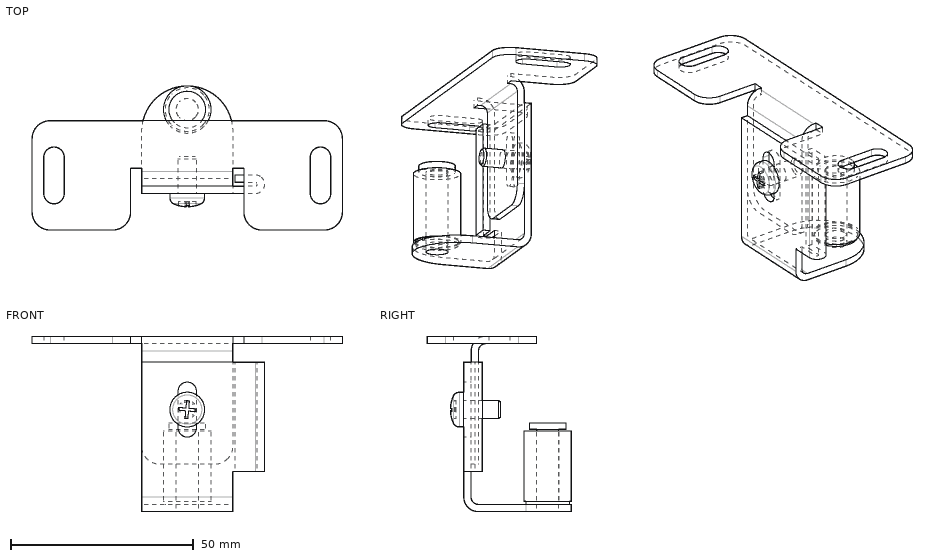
import cadquery as cq
import math

sheet = 2.0
bend_outer = 4.0
strip_width = 25.0
overall_height = 48.0

plate_length = 85.0
plate_depth = 30.0
plate_front = -10.0
corner_radius = 5.0
cutout_width = 30.9
cutout_back = 6.9
plate_slot_width = 5.5
plate_slot_length = 15.5
plate_slot_offset = 36.5
tongue_bottom = 13.0

bracket_depth = 29.5
panel_top = 41.0
hem_bottom = 11.0
hem_outer_x = 21.2
hem_gap = 1.0
lip_clearance = 0.5

screw_height = 28.0
shank_diameter = 5.0
shank_length = 10.1
tip_diameter = 4.2
tip_chamfer_length = 0.6
clamp_travel = 10.0
head_diameter = 9.5
head_band = 1.2
crown_diameter = 8.0
crown_start = 2.7
head_height = 3.65
recess_span = 4.85
recess_arm = 0.8
recess_depth = 1.5
recess_angle = 5.0

roller_diameter = 13.0
roller_height = 19.3
roller_bore = 6.1
washer_diameter = 12.0
washer_thickness = 0.8
pin_diameter = 6.0
pin_head_diameter = 10.0
pin_head_thickness = 1.8
pin_head_gap = 0.4

plate_center_y = plate_front + plate_depth / 2
roller_y = bracket_depth - roller_diameter / 2
washer_top = sheet + washer_thickness
roller_top = washer_top + roller_height
pin_head_bottom = roller_top + pin_head_gap


def bent_strip(y_length, z_length):
    """L-shaped strip with its outer corner on the X axis and legs along +Y and +Z."""
    inner_radius = bend_outer - sheet
    cos_45 = math.cos(math.radians(45))
    outer_mid = bend_outer * (1 - cos_45)
    inner_mid = bend_outer - inner_radius * cos_45
    return (
        cq.Workplane("YZ")
        .moveTo(y_length, 0)
        .lineTo(bend_outer, 0)
        .threePointArc((outer_mid, outer_mid), (0, bend_outer))
        .lineTo(0, z_length)
        .lineTo(sheet, z_length)
        .lineTo(sheet, bend_outer)
        .threePointArc((inner_mid, inner_mid), (bend_outer, sheet))
        .lineTo(y_length, sheet)
        .close()
        .extrude(strip_width / 2, both=True)
    )


def make_mounting_plate():
    plate = (
        cq.Workplane("XY", origin=(0, plate_center_y, overall_height - sheet))
        .rect(plate_length, plate_depth)
        .extrude(sheet)
    )
    cutout_depth = cutout_back - plate_front
    cutout = (
        cq.Workplane("XY", origin=(0, plate_front + cutout_depth / 2, overall_height - sheet))
        .rect(cutout_width, cutout_depth)
        .extrude(sheet)
    )
    plate = plate.cut(cutout)
    outer_corners = plate.edges("|Z and (<X or >X)")
    front_corners = plate.faces("<Y").edges("|Z and (not (<X or >X))")
    plate = plate.newObject(outer_corners.vals() + front_corners.vals()).fillet(corner_radius)

    mounting_slots = (
        cq.Workplane("XY", origin=(0, plate_center_y, overall_height - sheet))
        .pushPoints([(-plate_slot_offset, 0), (plate_slot_offset, 0)])
        .slot2D(plate_slot_length, plate_slot_width, 90)
        .extrude(sheet)
    )
    plate = plate.cut(mounting_slots)

    tongue = (
        bent_strip(cutout_back - sheet, overall_height - tongue_bottom)
        .mirror("XY")
        .translate((0, sheet, overall_height))
        .faces("<Z")
        .edges("|Y")
        .fillet(corner_radius)
    )
    screw_hole = (
        cq.Workplane("XZ", origin=(0, 0, screw_height))
        .circle(shank_diameter / 2)
        .extrude(-2 * sheet)
    )
    return plate.union(tongue).cut(screw_hole)


def make_hem():
    """Side extension of the front panel, folded back on itself around the tongue's edge."""
    outer_depth = 2 * sheet + hem_gap
    outer_radius = outer_depth / 2
    fold_x = hem_outer_x - outer_radius
    panel_side = strip_width / 2
    lip_edge = panel_side + lip_clearance
    return (
        cq.Workplane("XY", origin=(0, 0, hem_bottom))
        .moveTo(panel_side, 0)
        .lineTo(fold_x, 0)
        .threePointArc((hem_outer_x, outer_radius), (fold_x, outer_depth))
        .lineTo(lip_edge, outer_depth)
        .lineTo(lip_edge, sheet + hem_gap)
        .lineTo(fold_x, sheet + hem_gap)
        .threePointArc((hem_outer_x - sheet, outer_radius), (fold_x, sheet))
        .lineTo(panel_side, sheet)
        .close()
        .extrude(panel_top - hem_bottom)
    )


def make_bracket():
    end_center_y = bracket_depth - strip_width / 2
    round_end = (
        cq.Workplane("XY", origin=(0, end_center_y, 0))
        .circle(strip_width / 2)
        .extrude(sheet)
    )
    bracket = bent_strip(end_center_y, panel_top).union(round_end).union(make_hem())

    clamp_slot = (
        cq.Workplane("XZ", origin=(0, 0, screw_height))
        .slot2D(clamp_travel + shank_diameter, shank_diameter, 90)
        .extrude(-sheet)
    )
    pin_hole = (
        cq.Workplane("XY", origin=(0, roller_y, 0))
        .circle(pin_diameter / 2)
        .extrude(sheet)
    )
    return bracket.cut(clamp_slot).cut(pin_hole)


def make_screw():
    shank_radius = shank_diameter / 2
    head_radius = head_diameter / 2
    crown_radius = crown_diameter / 2
    crown_rise = head_height - crown_start
    dome_radius = (crown_radius**2 + crown_rise**2) / (2 * crown_rise)
    dome_mid_x = crown_radius / 2
    dome_mid_y = dome_radius - head_height - math.sqrt(dome_radius**2 - dome_mid_x**2)
    screw = (
        cq.Workplane("XY")
        .moveTo(0, shank_length)
        .lineTo(tip_diameter / 2, shank_length)
        .lineTo(shank_radius, shank_length - tip_chamfer_length)
        .lineTo(shank_radius, 0)
        .lineTo(head_radius, 0)
        .lineTo(head_radius, -head_band)
        .tangentArcPoint((crown_radius, -crown_start), relative=False)
        .threePointArc((dome_mid_x, dome_mid_y), (0, -head_height))
        .close()
        .revolve(360, (0, 0, 0), (0, 1, 0))
    )
    recess = (
        cq.Workplane("XZ", origin=(0, -head_height, 0))
        .rect(recess_span, recess_arm)
        .extrude(-recess_depth)
        .union(
            cq.Workplane("XZ", origin=(0, -head_height, 0))
            .rect(recess_arm, recess_span)
            .extrude(-recess_depth)
        )
        .rotate((0, 0, 0), (0, 1, 0), recess_angle)
    )
    return screw.cut(recess).translate((0, 0, screw_height))


def make_ring(outer_diameter, bottom, height):
    """Ring around the pin axis with the roller's bore."""
    return (
        cq.Workplane("XY", origin=(0, roller_y, bottom))
        .circle(outer_diameter / 2)
        .circle(roller_bore / 2)
        .extrude(height)
    )


def make_pin():
    shaft = (
        cq.Workplane("XY", origin=(0, roller_y, 0))
        .circle(pin_diameter / 2)
        .extrude(pin_head_bottom)
    )
    head = (
        cq.Workplane("XY", origin=(0, roller_y, pin_head_bottom))
        .circle(pin_head_diameter / 2)
        .extrude(pin_head_thickness)
    )
    return shaft.union(head)


mounting_plate = make_mounting_plate()
bracket = make_bracket()
screw = make_screw()
washer = make_ring(washer_diameter, sheet, washer_thickness)
roller = make_ring(roller_diameter, washer_top, roller_height)
pin = make_pin()

result = cq.Compound.makeCompound(
    [
        mounting_plate.solids().val(),
        bracket.solids().val(),
        screw.solids().val(),
        washer.solids().val(),
        roller.solids().val(),
        pin.solids().val(),
    ]
)